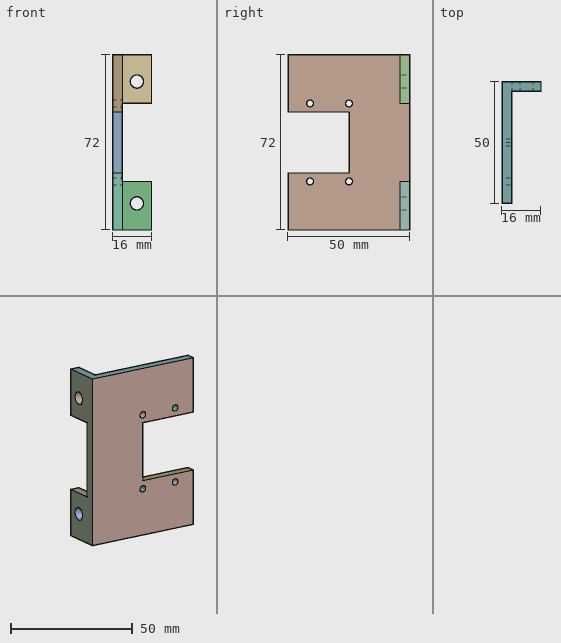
import cadquery as cq

width = 16.0
depth = 50.0
height = 72.0
thickness = 4.0

tab_height = 20.0
tab_hole_diameter = 5.3
tab_hole_x = 10.0
tab_hole_end_distance = 11.0

notch_depth = 25.0
notch_height = 25.0

plate_hole_diameter = 2.7
plate_hole_front_distances = (9.0, notch_depth)
plate_hole_spacing_z = 32.0

plate = cq.Workplane("XY").box(thickness, depth, height, centered=(False, False, True))

notch = cq.Workplane("XY").box(thickness, notch_depth, notch_height, centered=(False, False, True))

plate_hole_points = [
    (y, side * plate_hole_spacing_z / 2)
    for y in plate_hole_front_distances
    for side in (-1, 1)
]
plate_holes = (
    cq.Workplane("YZ")
    .pushPoints(plate_hole_points)
    .circle(plate_hole_diameter / 2)
    .extrude(thickness)
)


def flange_tab(side):
    """Drilled tab at the top (side = 1) or bottom (side = -1) of the rear flange."""
    tab_z = side * (height - tab_height) / 2
    hole_z = side * (height / 2 - tab_hole_end_distance)
    tab = (
        cq.Workplane("XY")
        .box(width, thickness, tab_height, centered=(False, False, True))
        .translate((0, depth - thickness, tab_z))
    )
    hole = (
        cq.Workplane("XZ")
        .center(tab_hole_x, hole_z)
        .circle(tab_hole_diameter / 2)
        .extrude(-depth)
    )
    return tab.cut(hole)


result = plate.cut(notch).cut(plate_holes)
for side in (-1, 1):
    result = result.union(flange_tab(side))